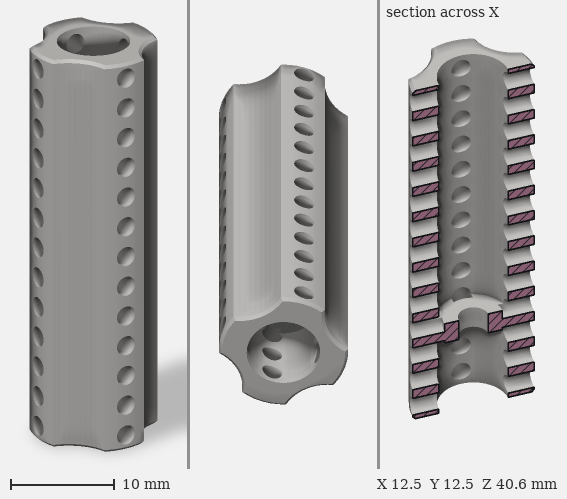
import cadquery as cq
import math

PITCH = 3.125
HOLE_COUNT = 13
HOLE_DIAMETER = 2.0
OUTER_DIAMETER = 4 * PITCH
LENGTH = HOLE_COUNT * PITCH
FIRST_HOLE_HEIGHT = PITCH / 2

LOBE_COUNT = 4
LOBE_HALF_WIDTH = 2.24
FLUTE_BOTTOM_RADIUS = 4.95
EDGE_CHAMFER = 0.3

BORE_DIAMETER = 7.1
CENTRE_HOLE_DIAMETER = 3.0
WEB_TOP_LEVEL = 3
WEB_TOP = FIRST_HOLE_HEIGHT + WEB_TOP_LEVEL * PITCH
WEB_THICKNESS = 2.4
WEB_BOTTOM = WEB_TOP - WEB_THICKNESS

SIDE_HOLE_INNER_RADIUS = 3.0


def polar(radius, angle):
    return radius * math.cos(angle), radius * math.sin(angle)


def make_body():
    """Extrude the lobed outline and chamfer both end faces."""
    outer_radius = OUTER_DIAMETER / 2
    lobe_half_angle = math.asin(LOBE_HALF_WIDTH / outer_radius)
    lobe_step = 2 * math.pi / LOBE_COUNT
    outline = cq.Workplane("XY").moveTo(*polar(outer_radius, -lobe_half_angle))
    for lobe in range(LOBE_COUNT):
        middle = lobe * lobe_step
        lobe_end = polar(outer_radius, middle + lobe_half_angle)
        flute_bottom = polar(FLUTE_BOTTOM_RADIUS, middle + lobe_step / 2)
        next_lobe_start = polar(outer_radius, middle + lobe_step - lobe_half_angle)
        outline = outline.threePointArc(polar(outer_radius, middle), lobe_end)
        outline = outline.threePointArc(flute_bottom, next_lobe_start)
    body = outline.close().extrude(LENGTH)
    return body.faces("<Z or >Z").chamfer(EDGE_CHAMFER)


def vertical_cylinder(diameter, bottom, top):
    return cq.Workplane("XY").workplane(offset=bottom).circle(diameter / 2).extrude(top - bottom)


def cut_bores(body):
    """Open both ends and pierce the web between them."""
    body = body.cut(vertical_cylinder(BORE_DIAMETER, WEB_TOP, LENGTH))
    body = body.cut(vertical_cylinder(BORE_DIAMETER, 0, WEB_BOTTOM))
    return body.cut(vertical_cylinder(CENTRE_HOLE_DIAMETER, 0, LENGTH))


def cut_side_holes(body):
    """Drill a column of holes into every lobe, ending on a cylinder around the axis."""
    core = vertical_cylinder(2 * SIDE_HOLE_INNER_RADIUS, 0, LENGTH)
    heights = [(0, FIRST_HOLE_HEIGHT + level * PITCH) for level in range(HOLE_COUNT)]
    for plane in ("XZ", "YZ"):
        drills = cq.Workplane(plane).pushPoints(heights).circle(HOLE_DIAMETER / 2)
        body = body.cut(drills.extrude(OUTER_DIAMETER / 2, both=True).cut(core))
    return body


result = cut_side_holes(cut_bores(make_body()))